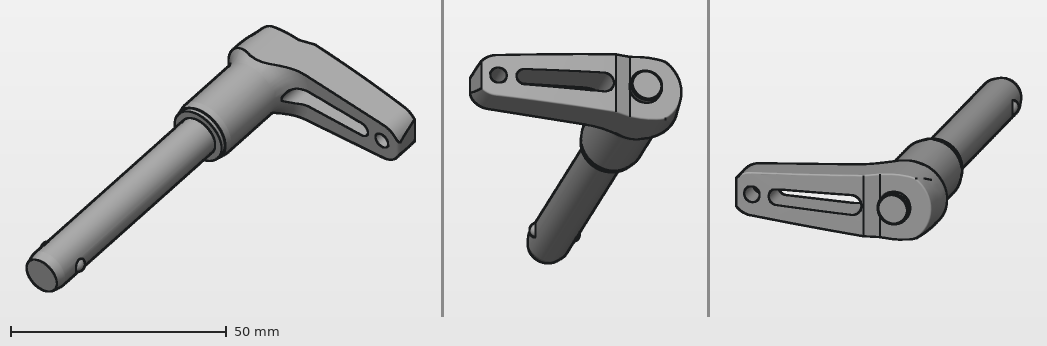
import cadquery as cq
import math

total_length = 95.4
button_top = 35.8
pin_tip = button_top - total_length
pin_diameter = 10.0
pin_radius = pin_diameter / 2
tip_chamfer_length = 2.5
tip_chamfer_depth = 0.6
ball_y = -51.5
ball_radius = 1.8
ball_reach = 6.0

sleeve_radius = 7.4
collar_radius = 6.9
collar_length = 1.2
sleeve_lip_radius = 7.1
sleeve_taper_end = 3.0
flare_start = 19.8
flare_radius = 5.7
flare_outer_radius = sleeve_radius + flare_radius

button_radius = 3.7
button_edge_chamfer = 0.3

head_half_width = 7.9
nose_reach = 10.0
nose_arc_end = (-3.1, 7.7)
head_flat_start = -1.05
taper_start = 0.8
arm_end = 40.0
arm_end_radius = 5.2
arm_end_center = arm_end - arm_end_radius

head_top = 33.9
arm_underside = flare_start + flare_radius
arm_slope_start = 12.2
arm_end_bottom = 24.5
arm_end_top = 32.2
arm_end_draft = 1.1
arm_face_inset = 0.2
arm_face_bottom = arm_end - arm_face_inset
arm_face_top = arm_face_bottom - arm_end_draft
crest_x = 7.25
crest_y = 35.1
crest_ramp_start = 3.6
arm_top_mid = (22.9, 34.1)
nose_top_radius = 8.8
top_edge_round = 0.4
arm_tip_round = 0.8

slot_start_center = 10.1
slot_start_radius = 2.4
slot_end_center = 28.6
slot_end_radius = 1.9
lanyard_hole_radius = 1.9


def along_pin(start):
    """Sketch plane across the pin at Y = start, facing +Y, with local x along +X."""
    return cq.Workplane(cq.Plane(origin=(0, start, 0), xDir=(1, 0, 0), normal=(0, 1, 0)))


def tapered_outline(plane, x1, radius1, x2, radius2):
    """Closed outline of two round ends joined by their common tangent lines."""
    lean = (radius1 - radius2) / (x2 - x1)
    rise = math.sqrt(1 - lean**2)
    a = (x1 + radius1 * lean, radius1 * rise)
    b = (x2 + radius2 * lean, radius2 * rise)
    return (
        plane.moveTo(*a)
        .lineTo(*b)
        .threePointArc((x2 + radius2, 0), (b[0], -b[1]))
        .lineTo(a[0], -a[1])
        .threePointArc((x1 - radius1, 0), a)
        .close()
    )


def revolve_about_pin(profile):
    return profile.close().revolve(360, (0, 0, 0), (0, 1, 0))


def handle_plan():
    """Head and tapering arm, extruded over the height of the handle."""
    outline = (
        along_pin(flare_start)
        .moveTo(*nose_arc_end)
        .lineTo(head_flat_start, head_half_width)
        .lineTo(taper_start, head_half_width)
        .lineTo(arm_end_center, arm_end_radius)
        .threePointArc((arm_end, 0), (arm_end_center, -arm_end_radius))
        .lineTo(taper_start, -head_half_width)
        .lineTo(head_flat_start, -head_half_width)
        .lineTo(nose_arc_end[0], -nose_arc_end[1])
        .threePointArc((-nose_reach, 0), nose_arc_end)
        .close()
    )
    return outline.extrude(button_top - flare_start)


def handle_side():
    """Side profile of the head and arm, with its drafted end face."""
    profile = (
        cq.Workplane("XY")
        .moveTo(-nose_reach, arm_underside)
        .lineTo(-nose_reach, head_top)
        .lineTo(crest_ramp_start, head_top)
        .lineTo(crest_x, crest_y)
        .threePointArc(arm_top_mid, (arm_face_top, arm_end_top))
        .lineTo(arm_face_bottom, arm_end_bottom)
        .lineTo(arm_slope_start, arm_underside)
        .close()
    )
    side = profile.extrude(head_half_width, both=True)
    return side.edges("|Z and >X").fillet(arm_tip_round)


def flare():
    """Concave round that blends the sleeve into the underside of the handle."""
    bend = flare_radius * math.sqrt(0.5)
    profile = (
        cq.Workplane("XY")
        .moveTo(0, flare_start)
        .lineTo(sleeve_radius, flare_start)
        .threePointArc(
            (flare_outer_radius - bend, flare_start + bend),
            (flare_outer_radius, arm_underside),
        )
        .lineTo(0, arm_underside)
    )
    return revolve_about_pin(profile)


def nose_relief():
    """Material outside a cone about the pin axis, on the nose side only."""
    cone_bottom = flare_start + math.sqrt(
        flare_radius**2 - (flare_outer_radius - nose_reach) ** 2
    )
    cone = revolve_about_pin(
        cq.Workplane("XY")
        .moveTo(0, cone_bottom)
        .lineTo(nose_reach, cone_bottom)
        .lineTo(nose_top_radius, head_top)
        .lineTo(0, head_top)
    )
    block = cq.Workplane("XY").box(
        nose_reach, head_top - cone_bottom, 2 * head_half_width, centered=(False, False, True)
    ).translate((-nose_reach, cone_bottom, 0))
    return block.cut(cone)


def arm_openings():
    depth = button_top - flare_start
    slot = tapered_outline(
        along_pin(flare_start),
        slot_start_center, slot_start_radius, slot_end_center, slot_end_radius,
    ).extrude(depth)
    hole = along_pin(flare_start).center(arm_end_center, 0).circle(lanyard_hole_radius).extrude(depth)
    return slot.union(hole)


def handle():
    body = handle_side().union(flare()).intersect(handle_plan())
    body = body.cut(nose_relief())
    top_sides = cq.selectors.BoxSelector(
        (-nose_reach, arm_end_top, -head_half_width), (arm_end, button_top, head_half_width)
    )
    body = body.edges(top_sides).edges("not |Z").fillet(top_edge_round)
    return body.cut(arm_openings())


def sleeve():
    """Grip sleeve with a tapered lower edge and a narrower end collar."""
    profile = (
        cq.Workplane("XY")
        .lineTo(collar_radius, 0)
        .lineTo(collar_radius, collar_length)
        .lineTo(sleeve_lip_radius, collar_length)
        .lineTo(sleeve_radius, sleeve_taper_end)
        .lineTo(sleeve_radius, flare_start)
        .lineTo(0, flare_start)
    )
    return revolve_about_pin(profile)


def pin():
    """Shank with a chamfered tip and two locking balls."""
    shank = revolve_about_pin(
        cq.Workplane("XY")
        .moveTo(0, pin_tip)
        .lineTo(pin_radius - tip_chamfer_depth, pin_tip)
        .lineTo(pin_radius, pin_tip + tip_chamfer_length)
        .lineTo(pin_radius, 0)
        .lineTo(0, 0)
    )
    for side in (-1, 1):
        ball = cq.Workplane("XY").sphere(ball_radius)
        shank = shank.union(ball.translate((side * (ball_reach - ball_radius), ball_y, 0)))
    return shank


def button():
    body = along_pin(arm_underside).circle(button_radius).extrude(button_top - arm_underside)
    return body.faces(">Y").chamfer(button_edge_chamfer)


result = handle().union(sleeve()).union(pin()).union(button())